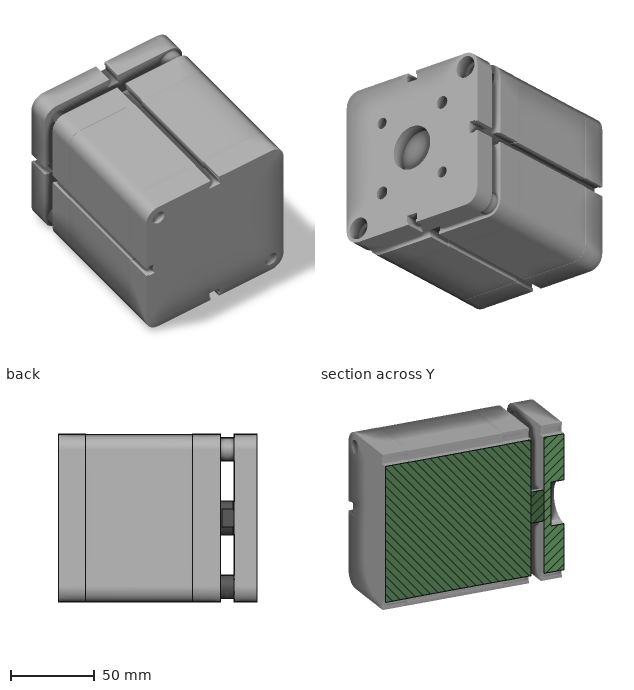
import cadquery as cq

total_length = 118.5
side = 100.0
plate_thickness = 13.7
gap = 8.0
front_cap_length = 16.8
rear_cap_length = 16.1

tube_inset = 0.1

housing_front = plate_thickness + gap
tube_start = housing_front + front_cap_length
tube_length = total_length - rear_cap_length - tube_start
rear_cap_start = tube_start + tube_length

corner_radius = 9.0
corner_offset = side / 2 - corner_radius

slot_depth = 6.0
cap_slot_mouth = 6.2
cap_slot_chamber = 7.6
cap_slot_lip = 1.9
tube_slot_mouth = 5.5
tube_slot_chamber = 6.6
tube_slot_lip = 2.7
slotted_face_angles = (0, 90, 180)

guide_rod_corners = [(corner_offset, corner_offset), (-corner_offset, -corner_offset)]
bolt_corners = [(-corner_offset, corner_offset), (corner_offset, -corner_offset)]

counterbore_diameter = 13.7
counterbore_depth = 8.8
bolt_hole_diameter = 8.8
recess_diameter = 28.0
recess_depth = counterbore_depth
pattern_offset = 23.0
large_hole_diameter = 8.0
small_hole_diameter = 7.0
large_hole_points = [(-pattern_offset, pattern_offset), (pattern_offset, -pattern_offset)]
small_hole_points = [(pattern_offset, pattern_offset), (-pattern_offset, -pattern_offset)]

guide_rod_diameter = 14.0
piston_rod_diameter = 20.4
flats_width = 17.3
collar_length = 1.0
rod_chamfer = 0.6


def plane_at(x):
    """YZ plane at the given X, local axes along +Y and +Z."""
    return cq.Workplane("YZ", origin=(x, 0, 0))


def slot_bar(x, length, width, bottom, top):
    """Bar along X, centred on Y, between two heights."""
    return plane_at(x).center(0, (bottom + top) / 2).rect(width, top - bottom).extrude(length)


def slot_cutter(x, length, mouth, chamber, lip, inset=0.0):
    """Undercut slot along X in the three slotted faces (top, -Y and bottom), its floor sunk by the inset."""
    bottom = side / 2 - inset - slot_depth
    ceiling = side / 2 - lip
    top_slot = slot_bar(x, length, mouth, bottom, side / 2)
    top_slot = top_slot.union(slot_bar(x, length, chamber, bottom, ceiling))
    cutter = cq.Workplane("XY")
    for angle in slotted_face_angles:
        cutter = cutter.union(top_slot.rotate((0, 0, 0), (1, 0, 0), angle))
    return cutter


def rounded_block(x, length, inset=0.0):
    """Square block along X with rounded long edges, its sides pulled in by the inset."""
    width = side - 2 * inset
    return plane_at(x).rect(width, width).extrude(length).edges("|X").fillet(corner_radius - inset)


def cap_block(x, length):
    """Full-size block with the wider slots, used for the plate and both caps."""
    return rounded_block(x, length).cut(
        slot_cutter(x, length, cap_slot_mouth, cap_slot_chamber, cap_slot_lip)
    )


def holes(x, points, diameter, depth):
    """Round cutters along X."""
    return plane_at(x).pushPoints(points).circle(diameter / 2).extrude(depth)


def make_end_plate():
    plate = cap_block(0, plate_thickness)
    plate = plate.cut(holes(0, bolt_corners, counterbore_diameter, counterbore_depth))
    plate = plate.cut(holes(0, bolt_corners, bolt_hole_diameter, plate_thickness))
    plate = plate.cut(holes(0, large_hole_points, large_hole_diameter, plate_thickness))
    plate = plate.cut(holes(0, small_hole_points, small_hole_diameter, plate_thickness))
    return plate.cut(holes(0, [(0, 0)], recess_diameter, recess_depth))


def make_housing():
    front_cap = cap_block(housing_front, front_cap_length)
    tube = rounded_block(tube_start, tube_length, tube_inset).cut(
        slot_cutter(tube_start, tube_length, tube_slot_mouth, tube_slot_chamber, tube_slot_lip, tube_inset)
    )
    rear_cap = cap_block(rear_cap_start, rear_cap_length)
    housing = front_cap.union(tube).union(rear_cap)
    return housing.cut(holes(housing_front, bolt_corners, bolt_hole_diameter, total_length - housing_front))


def make_piston_rod():
    """Rod across the gap, with two flats facing -Y and +Y and a round collar at the housing."""
    rod = plane_at(plate_thickness).circle(piston_rod_diameter / 2).extrude(gap)
    rod = rod.faces("<X").chamfer(rod_chamfer)
    flats_length = gap - collar_length
    flatted_end = plane_at(plate_thickness).rect(flats_width, piston_rod_diameter).extrude(flats_length)
    collar = plane_at(housing_front - collar_length).circle(piston_rod_diameter / 2).extrude(collar_length)
    return rod.intersect(flatted_end.union(collar))


def make_guide_rod(y, z):
    """Plain round rod across the gap."""
    return plane_at(plate_thickness).center(y, z).circle(guide_rod_diameter / 2).extrude(gap)


end_plate = make_end_plate()
housing = make_housing()
piston_rod = make_piston_rod()
guide_rods = [make_guide_rod(y, z) for y, z in guide_rod_corners]

result = cq.Compound.makeCompound(
    [end_plate.val(), housing.val(), piston_rod.val(), *[rod.val() for rod in guide_rods]]
)